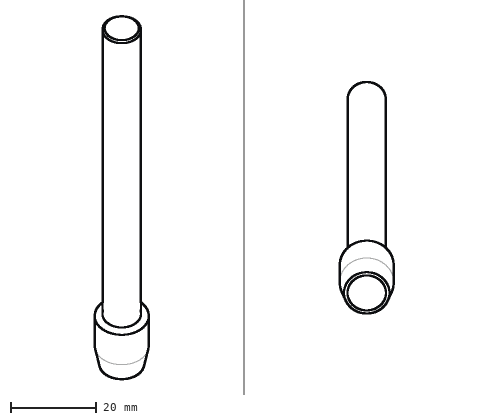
import cadquery as cq

TOTAL_HEIGHT = 110.0

ROD_DIAMETER = 9.0
ROD_TOP_CHAMFER = 0.5

COLLAR_DIAMETER = 12.7
NOSE_HEIGHT = 5.8
NOSE_END_DIAMETER = 10.65
BAND_HEIGHT = 9.8
TOP_CONE_RISE = 0.6


def make_collar():
    """Ring with a tapered nose and a top that rises to the rod, bored through for the rod."""
    rod_radius = ROD_DIAMETER / 2
    collar_radius = COLLAR_DIAMETER / 2
    shoulder_height = NOSE_HEIGHT + BAND_HEIGHT
    return (
        cq.Workplane("YZ")
        .moveTo(rod_radius, 0)
        .lineTo(NOSE_END_DIAMETER / 2, 0)
        .lineTo(collar_radius, NOSE_HEIGHT)
        .lineTo(collar_radius, shoulder_height)
        .lineTo(rod_radius, shoulder_height + TOP_CONE_RISE)
        .close()
        .revolve(360, (0, 0), (0, 1))
    )


def make_rod():
    """Round rod running the full height, chamfered at its top end."""
    return (
        cq.Workplane("XY")
        .circle(ROD_DIAMETER / 2)
        .extrude(TOTAL_HEIGHT)
        .faces(">Z")
        .chamfer(ROD_TOP_CHAMFER)
    )


collar = make_collar()
rod = make_rod()

result = cq.Compound.makeCompound([collar.val(), rod.val()])